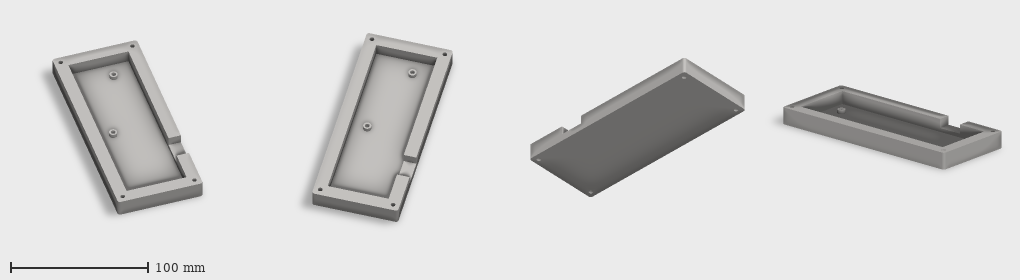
import cadquery as cq

length = 156.0
width = 65.0
height = 13.0
corner_radius = 2.0

floor_thickness = 3.0
wall_thickness = 9.5
pocket_length = length - 2 * wall_thickness
pocket_width = width - 2 * wall_thickness

screw_diameter = 3.4
screw_inset = 5.0

standoff_diameter = 6.0
standoff_bore = 3.4
standoff_height = 3.0
standoff_centers = [(-56.1, 7.6), (0.8, -11.3)]

notch_center_x = 35.5
notch_width = 19.0
notch_depth = 7.0


def make_body():
    """Solid block with rounded upright edges."""
    block = cq.Workplane("XY").box(length, width, height, centered=(True, True, False))
    return block.edges("|Z").fillet(corner_radius)


def cut_pocket(body):
    """Cut the sharp-cornered pocket down to the floor."""
    pocket = (
        cq.Workplane("XY")
        .workplane(offset=floor_thickness)
        .rect(pocket_length, pocket_width)
        .extrude(height - floor_thickness)
    )
    return body.cut(pocket)


def cut_notch(body):
    """Open the +Y wall from the pocket to the outside, from the rim down."""
    notch = (
        cq.Workplane("XY")
        .workplane(offset=height - notch_depth)
        .center(notch_center_x, (width - wall_thickness) / 2)
        .rect(notch_width, wall_thickness)
        .extrude(notch_depth)
    )
    return body.cut(notch)


def cut_screw_holes(body):
    """Drill the four corner holes through the full height."""
    holes = (
        cq.Workplane("XY")
        .rect(length - 2 * screw_inset, width - 2 * screw_inset, forConstruction=True)
        .vertices()
        .circle(screw_diameter / 2)
        .extrude(height)
    )
    return body.cut(holes)


def add_standoffs(body):
    """Stand the hollow standoffs on the floor; their bores stop at the floor."""
    standoffs = (
        cq.Workplane("XY")
        .workplane(offset=floor_thickness)
        .pushPoints(standoff_centers)
        .circle(standoff_diameter / 2)
        .circle(standoff_bore / 2)
        .extrude(standoff_height)
    )
    return body.union(standoffs)


body = make_body()
body = cut_pocket(body)
body = cut_notch(body)
body = cut_screw_holes(body)
result = add_standoffs(body)